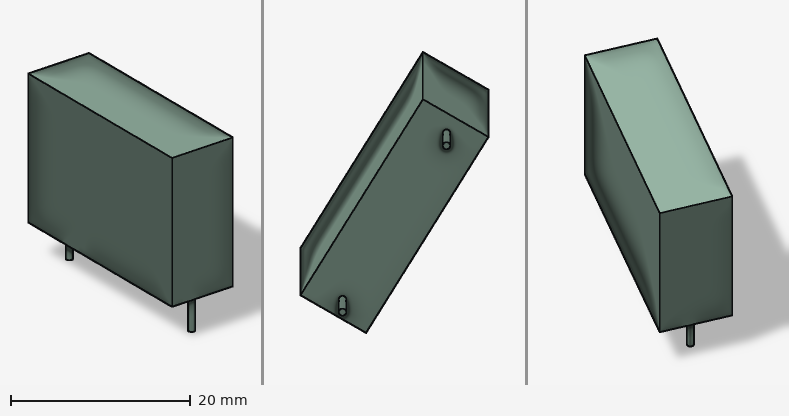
import cadquery as cq

total_height = 23.47
case_length = 26.5
case_width = 8.5
case_height = 18.5

lead_diameter = 0.82
lead_spacing = 22.5
lead_length = total_height - case_height


def make_case():
    """Plain rectangular case standing on the plane Z = 0."""
    return cq.Workplane("XY").box(
        case_length, case_width, case_height, centered=(True, True, False)
    )


def make_lead(x):
    """Straight round lead hanging from the underside of the case."""
    return (
        cq.Workplane("XY")
        .center(x, 0)
        .circle(lead_diameter / 2)
        .extrude(-lead_length)
    )


case = make_case()
leads = [make_lead(side * lead_spacing / 2) for side in (-1, 1)]

result = cq.Compound.makeCompound([case.val(), *[lead.val() for lead in leads]])